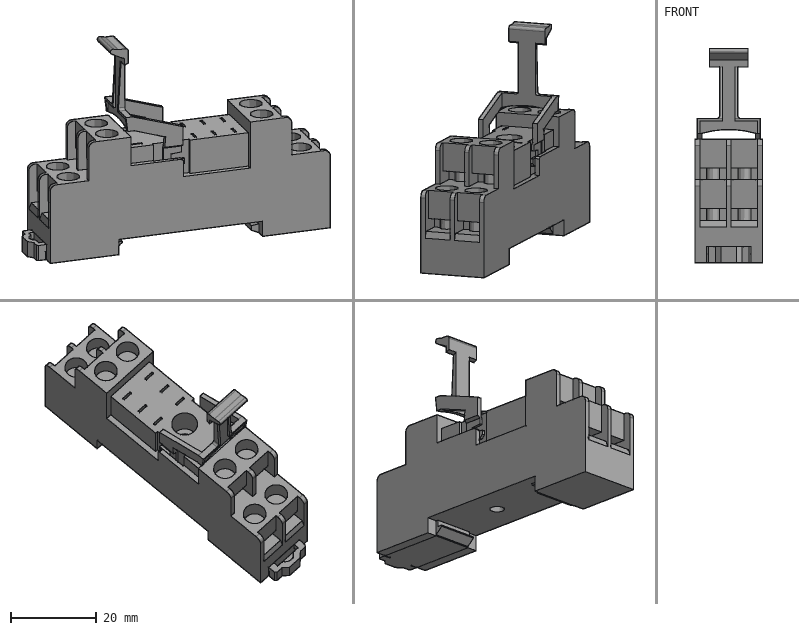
import cadquery as cq
import math


WIDTH = 15.8
HALF_WIDTH = WIDTH / 2
LENGTH = 69.8
LOWER_TIER_TOP = 19.5
UPPER_TIER_TOP = 29.0
TIER_RISE = UPPER_TIER_TOP - LOWER_TIER_TOP
TIER_SETBACK = 9.6
TIER_EDGE_RADIUS = 1.5
SEAT_FRONT = 20.15
SEAT_BACK = 49.85
SEAT_TOP = 25.9

CHANNEL_FRONT = 17.1
CHANNEL_BACK = 52.9
CHANNEL_HEIGHT = 3.8

FIXED_HOOK_TIP_Y = 51.1
FIXED_HOOK_TIP_BOTTOM = 0.8
FIXED_HOOK_TIP_TOP = 2.0
HOOK_TOP = 2.2
RIDGE_FRONT = 49.05
RIDGE_CREST_FRONT = 49.25
RIDGE_CREST_BACK = 50.3
RIDGE_BACK = 51.0
RIDGE_HEIGHT = 0.45

TERMINAL_X = 3.7
POCKET_WIDTH = 6.2
POCKET_DEPTH = 2.05
PANEL_HEIGHT = 6.75
CAVITY_HEIGHT = TIER_RISE - PANEL_HEIGHT
BORE_DIAMETER = 5.3
BORE_DEPTH = 4.4
BORE_SETBACK = 6.0
SCREW_DIAMETER = 3.1
SILL_SLOPE_DEPTH = 0.6
SILL_SLOPE_HEIGHT = 1.55

BLOCK_HALF_WIDTH = 6.5
SIDE_STEP_FLOOR = 17.5
SIDE_WALL_TOP = 21.9
SIDE_WALL_END = 33.2
SIDE_WALL_CHAMFER = 0.45
LEVER_SLOT_INNER_X = 5.9
LEVER_SLOT_OUTER_X = 6.8
LEVER_SLOT_FRONT = 26.2
LEVER_SLOT_BACK = 35.3

BLADE_LENGTH = 2.5
BLADE_THICKNESS = 0.5
BLADE_DEPTH = 3.7
CONTACT_X = 3.75
CONTACT_FIRST_Y = 37.2
CONTACT_PITCH = 5.0
CONTACT_ROWS = 3
COIL_X = 4.55
COIL_Y = 22.8
MOUNT_Y = 32.2
MOUNT_DIAMETER = 3.4
MOUNT_HEAD_DIAMETER = 6.0
MOUNT_HEAD_DEPTH = 7.3

CLIP_HALF_WIDTH = 5.2
CLIP_HOOK_TIP_Y = 18.9
CLIP_HOOK_NECK_Y = 17.7
CLIP_HOOK_TIP_BOTTOM = 1.9
CLIP_HOOK_HEEL = 0.3
TAB_SHOULDER_Y = -2.35
TAB_TIP_Y = -3.5
TAB_CORNER = 0.45
TAB_SHOULDER_X = 3.1
TAB_TIP_X = 1.75
TAB_RECESS_X = 3.45
TAB_RECESS_Y = -1.25
TAB_RECESS_BULGE_Y = -2.35
TAB_RECESS_FLOOR = 0.7
TAB_ROOT_GAP = 0.2
TAB_ROOT_GAP_HEIGHT = 2.05

LEVER_TOP = 50.3
LEVER_BACK = 20.7
LEVER_FRONT = 19.7
HEAD_HALF_WIDTH = 4.55
HEAD_BOTTOM_BACK = 46.3
HEAD_BOTTOM_FRONT = 45.9
HEAD_FLAT_TOP = 50.0
HEAD_BACK_RADIUS = 0.7
HEAD_RAMP_Y = 18.2
HEAD_TIP_Y = 16.85
HEAD_TIP_RADIUS = 0.65
HEAD_ROOT_Z = 47.5
STEM_HALF_WIDTH = 2.16
STEM_FOOT_Y = 19.05
STEM_FOOT_RADIUS = 0.6
RIM_WIDTH = 0.65
CROSSBAR_TOP = 33.9
CROSSBAR_BOTTOM = 30.35
CROSSBAR_BOTTOM_Y = 19.5
CROSSBAR_ARCH_RISE = 0.9
ARM_OUTER_X = 7.4
ARM_INNER_X = 6.2
LEG_OUTER_X = 6.6
LEG_INNER_X = 5.95
JOG_TOP = 25.2
JOG_BOTTOM = 24.7
LEG_BOTTOM = 19.6
LEG_FRONT = 28.65
ARM_TOP_AT_LEG = 29.8
ARM_BOTTOM_START_Y = 21.1
ARM_BOTTOM_END = (28.95, 27.8)
LEG_NOTCH_FRONT = 30.6
LEG_NOTCH_TOP_BACK = 23.2
LEG_NOTCH_TOP_FRONT = 23.0
LEG_HOOK_TOP = 21.5
LEG_HOOK_TIP_Y = 33.95
LEG_HOOK_TIP_BOTTOM = 20.4


def box(x0, x1, y0, y1, z0, z1):
    """Axis-aligned block between two corners."""
    return cq.Workplane("XY").box(x1 - x0, y1 - y0, z1 - z0, centered=False).translate((x0, y0, z0))


def extrude_along_x(sketch, x0, x1):
    """Extrude a closed Y-Z outline from x0 to x1."""
    return sketch.extrude(x1 - x0).translate((x0, 0, 0))


def both_sides(solid):
    """A shape together with its mirror image across the mid plane X = 0."""
    return solid.union(solid.mirror("YZ"))


def both_ends(solid):
    """A shape together with its mirror image across the middle of the housing length."""
    return solid.union(solid.mirror("XZ", (0, LENGTH / 2, 0)))


def housing_block():
    r = TIER_EDGE_RADIUS
    bulge = r * (1 - math.sqrt(0.5))
    upper_back = LENGTH - TIER_SETBACK
    outline = (
        cq.Workplane("YZ")
        .moveTo(0, 0)
        .lineTo(0, LOWER_TIER_TOP - r)
        .threePointArc((bulge, LOWER_TIER_TOP - bulge), (r, LOWER_TIER_TOP))
        .lineTo(TIER_SETBACK, LOWER_TIER_TOP)
        .lineTo(TIER_SETBACK, UPPER_TIER_TOP - r)
        .threePointArc(
            (TIER_SETBACK + bulge, UPPER_TIER_TOP - bulge),
            (TIER_SETBACK + r, UPPER_TIER_TOP),
        )
        .lineTo(SEAT_FRONT, UPPER_TIER_TOP)
        .lineTo(SEAT_FRONT, SEAT_TOP)
        .lineTo(SEAT_BACK, SEAT_TOP)
        .lineTo(SEAT_BACK, UPPER_TIER_TOP)
        .lineTo(upper_back - r, UPPER_TIER_TOP)
        .threePointArc(
            (upper_back - bulge, UPPER_TIER_TOP - bulge),
            (upper_back, UPPER_TIER_TOP - r),
        )
        .lineTo(upper_back, LOWER_TIER_TOP)
        .lineTo(LENGTH - r, LOWER_TIER_TOP)
        .threePointArc(
            (LENGTH - bulge, LOWER_TIER_TOP - bulge),
            (LENGTH, LOWER_TIER_TOP - r),
        )
        .lineTo(LENGTH, 0)
        .lineTo(CHANNEL_BACK, 0)
        .lineTo(CHANNEL_BACK, CHANNEL_HEIGHT)
        .lineTo(CHANNEL_FRONT, CHANNEL_HEIGHT)
        .lineTo(CHANNEL_FRONT, 0)
        .close()
    )
    return extrude_along_x(outline, -HALF_WIDTH, HALF_WIDTH)


def terminal_cut(x, face_y, top):
    """Wire pocket, screw bore and undercut cavity of one terminal; a half-round screw stays behind."""
    x0 = x - POCKET_WIDTH / 2
    x1 = x + POCKET_WIDTH / 2
    bore_y = face_y + BORE_SETBACK
    floor = top - TIER_RISE
    pocket = box(x0, x1, face_y, face_y + POCKET_DEPTH, floor, top)
    cavity = box(x0, x1, face_y, bore_y, floor, floor + CAVITY_HEIGHT)
    screw = (
        cq.Workplane("XY", origin=(x, bore_y, floor)).circle(SCREW_DIAMETER / 2).extrude(CAVITY_HEIGHT)
    )
    bore = (
        cq.Workplane("XY", origin=(x, bore_y, top)).circle(BORE_DIAMETER / 2).extrude(-BORE_DEPTH)
    )
    return pocket.union(cavity.cut(screw)).union(bore)


def sill_slope_cut(x):
    """Sloping front edge of the sill under a lower terminal."""
    sill = LOWER_TIER_TOP - TIER_RISE
    outline = (
        cq.Workplane("YZ")
        .moveTo(0, sill - SILL_SLOPE_HEIGHT)
        .lineTo(SILL_SLOPE_DEPTH, sill)
        .lineTo(0, sill)
        .close()
    )
    return extrude_along_x(outline, x - POCKET_WIDTH / 2, x + POCKET_WIDTH / 2)


def terminal_cuts():
    cuts = terminal_cut(TERMINAL_X, 0, LOWER_TIER_TOP)
    cuts = cuts.union(sill_slope_cut(TERMINAL_X))
    cuts = cuts.union(terminal_cut(TERMINAL_X, TIER_SETBACK, UPPER_TIER_TOP))
    return both_ends(both_sides(cuts))


def seat_side_cuts():
    """Stepped recess beside the relay seat and the slot for the lever leg."""
    step_outline = (
        cq.Workplane("YZ")
        .moveTo(SEAT_FRONT, UPPER_TIER_TOP)
        .lineTo(SEAT_FRONT, SIDE_WALL_TOP)
        .lineTo(SIDE_WALL_END - SIDE_WALL_CHAMFER, SIDE_WALL_TOP)
        .lineTo(SIDE_WALL_END, SIDE_WALL_TOP - SIDE_WALL_CHAMFER)
        .lineTo(SIDE_WALL_END, SIDE_STEP_FLOOR)
        .lineTo(SEAT_BACK, SIDE_STEP_FLOOR)
        .lineTo(SEAT_BACK, UPPER_TIER_TOP)
        .close()
    )
    step = extrude_along_x(step_outline, BLOCK_HALF_WIDTH, HALF_WIDTH)
    slot = box(
        LEVER_SLOT_INNER_X, LEVER_SLOT_OUTER_X,
        LEVER_SLOT_FRONT, LEVER_SLOT_BACK,
        SIDE_STEP_FLOOR, SEAT_TOP,
    )
    return both_sides(step.union(slot))


def blade_slot_cuts():
    """Contact slots lie across the seat, the two coil slots along it."""
    contact_points = [(CONTACT_X, CONTACT_FIRST_Y + row * CONTACT_PITCH) for row in range(CONTACT_ROWS)]
    seat = cq.Workplane("XY", origin=(0, 0, SEAT_TOP))
    contacts = seat.pushPoints(contact_points).rect(BLADE_LENGTH, BLADE_THICKNESS).extrude(-BLADE_DEPTH)
    coil = seat.center(COIL_X, COIL_Y).rect(BLADE_THICKNESS, BLADE_LENGTH).extrude(-BLADE_DEPTH)
    return both_sides(contacts.union(coil))


def mounting_hole_cut():
    seat = cq.Workplane("XY", origin=(0, MOUNT_Y, SEAT_TOP))
    shank = seat.circle(MOUNT_DIAMETER / 2).extrude(-SEAT_TOP)
    head = seat.circle(MOUNT_HEAD_DIAMETER / 2).extrude(-MOUNT_HEAD_DEPTH)
    return shank.union(head)


def clip_slot_cut():
    return box(-CLIP_HALF_WIDTH, CLIP_HALF_WIDTH, 0, CHANNEL_FRONT, 0, CHANNEL_HEIGHT)


def fixed_rail_hook():
    outline = cq.Workplane("YZ").polyline(
        [
            (CHANNEL_BACK, 0),
            (FIXED_HOOK_TIP_Y, FIXED_HOOK_TIP_BOTTOM),
            (FIXED_HOOK_TIP_Y, FIXED_HOOK_TIP_TOP),
            (CHANNEL_BACK, HOOK_TOP),
        ]
    ).close()
    return extrude_along_x(outline, -CLIP_HALF_WIDTH, CLIP_HALF_WIDTH)


def rail_ridge():
    """Low ridge on the channel roof that bears on the rail."""
    crest = CHANNEL_HEIGHT - RIDGE_HEIGHT
    outline = cq.Workplane("YZ").polyline(
        [
            (RIDGE_FRONT, CHANNEL_HEIGHT),
            (RIDGE_CREST_FRONT, crest),
            (RIDGE_CREST_BACK, crest),
            (RIDGE_BACK, CHANNEL_HEIGHT),
        ]
    ).close()
    return extrude_along_x(outline, -CLIP_HALF_WIDTH, CLIP_HALF_WIDTH)


def make_housing():
    body = housing_block()
    for cut in (terminal_cuts(), seat_side_cuts(), blade_slot_cuts(), mounting_hole_cut(), clip_slot_cut()):
        body = body.cut(cut)
    return body.union(fixed_rail_hook()).union(rail_ridge())


def clip_bar():
    """Sliding bar in the front foot, ending in a hook under the rail."""
    outline = cq.Workplane("YZ").polyline(
        [
            (0, 0),
            (CHANNEL_FRONT, 0),
            (CHANNEL_FRONT, CLIP_HOOK_HEEL),
            (CLIP_HOOK_TIP_Y, CLIP_HOOK_TIP_BOTTOM),
            (CLIP_HOOK_TIP_Y, HOOK_TOP),
            (CLIP_HOOK_NECK_Y, HOOK_TOP),
            (CLIP_HOOK_NECK_Y, CHANNEL_HEIGHT),
            (0, CHANNEL_HEIGHT),
        ]
    ).close()
    return extrude_along_x(outline, -CLIP_HALF_WIDTH, CLIP_HALF_WIDTH)


def clip_tab():
    """Pull tab in front of the housing, with a recess for a screwdriver."""
    half_outline = [
        (CLIP_HALF_WIDTH, 0),
        (CLIP_HALF_WIDTH, TAB_SHOULDER_Y + TAB_CORNER),
        (CLIP_HALF_WIDTH - TAB_CORNER, TAB_SHOULDER_Y),
        (TAB_SHOULDER_X, TAB_SHOULDER_Y),
        (TAB_TIP_X, TAB_TIP_Y),
    ]
    mirrored = [(-x, y) for x, y in reversed(half_outline)]
    plate = cq.Workplane("XY").polyline(half_outline + mirrored).close().extrude(CHANNEL_HEIGHT)
    recess = (
        cq.Workplane("XY", origin=(0, 0, TAB_RECESS_FLOOR))
        .moveTo(TAB_RECESS_X, 0)
        .lineTo(TAB_RECESS_X, TAB_RECESS_Y)
        .lineTo(TAB_TIP_X, TAB_RECESS_Y)
        .threePointArc((0, TAB_RECESS_BULGE_Y), (-TAB_TIP_X, TAB_RECESS_Y))
        .lineTo(-TAB_RECESS_X, TAB_RECESS_Y)
        .lineTo(-TAB_RECESS_X, 0)
        .close()
        .extrude(CHANNEL_HEIGHT - TAB_RECESS_FLOOR)
    )
    root_gap = both_sides(
        box(TAB_RECESS_X, CLIP_HALF_WIDTH, -TAB_ROOT_GAP, 0, 0, TAB_ROOT_GAP_HEIGHT)
    )
    return plate.cut(recess).cut(root_gap)


def make_rail_clip():
    return clip_bar().union(clip_tab())


def lever_head():
    bulge = HEAD_BACK_RADIUS * (1 - math.sqrt(0.5))
    tip_z = LEVER_TOP - HEAD_TIP_RADIUS
    nose_root = (LEVER_FRONT, HEAD_ROOT_Z)
    to_root_y = nose_root[0] - HEAD_TIP_Y
    to_root_z = nose_root[1] - tip_z
    tangent_angle = math.atan2(to_root_z, to_root_y) - math.acos(
        HEAD_TIP_RADIUS / math.hypot(to_root_y, to_root_z)
    )
    nose_end = (
        HEAD_TIP_Y + HEAD_TIP_RADIUS * math.cos(tangent_angle),
        tip_z + HEAD_TIP_RADIUS * math.sin(tangent_angle),
    )
    outline = (
        cq.Workplane("YZ")
        .moveTo(LEVER_BACK, HEAD_BOTTOM_BACK)
        .lineTo(LEVER_BACK, HEAD_FLAT_TOP - HEAD_BACK_RADIUS)
        .threePointArc(
            (LEVER_BACK - bulge, HEAD_FLAT_TOP - bulge),
            (LEVER_BACK - HEAD_BACK_RADIUS, HEAD_FLAT_TOP),
        )
        .lineTo(HEAD_RAMP_Y, HEAD_FLAT_TOP)
        .lineTo(HEAD_TIP_Y, LEVER_TOP)
        .threePointArc((HEAD_TIP_Y - HEAD_TIP_RADIUS, tip_z), nose_end)
        .lineTo(*nose_root)
        .lineTo(LEVER_FRONT, HEAD_BOTTOM_FRONT)
        .close()
    )
    return extrude_along_x(outline, -HEAD_HALF_WIDTH, HEAD_HALF_WIDTH)


def lever_side_profile(half_width):
    """Stem and crossbar as seen along X; the front face leans out down to the crossbar."""
    outline = cq.Workplane("YZ").polyline(
        [
            (LEVER_BACK, CROSSBAR_BOTTOM),
            (LEVER_BACK, HEAD_BOTTOM_BACK),
            (LEVER_FRONT, HEAD_BOTTOM_FRONT),
            (STEM_FOOT_Y, CROSSBAR_TOP),
            (CROSSBAR_BOTTOM_Y, CROSSBAR_BOTTOM),
        ]
    ).close()
    return extrude_along_x(outline, -half_width, half_width)


def lever_front_profile(inset, foot_radius):
    """T-shaped outline of stem and crossbar, offset inwards by the inset."""
    stem_x = STEM_HALF_WIDTH - inset
    bar_x = ARM_OUTER_X - inset
    bar_top = CROSSBAR_TOP - inset
    stem = box(-stem_x, stem_x, 0, LEVER_BACK, CROSSBAR_BOTTOM, LEVER_TOP)
    bar = box(-bar_x, bar_x, 0, LEVER_BACK, CROSSBAR_BOTTOM, bar_top)
    tee = stem.union(bar)
    if foot_radius:
        corner = (
            cq.Workplane("XZ")
            .moveTo(stem_x, bar_top)
            .lineTo(stem_x + foot_radius, bar_top)
            .radiusArc((stem_x, bar_top + foot_radius), foot_radius)
            .close()
            .extrude(-LEVER_BACK)
        )
        tee = tee.union(both_sides(corner))
    return tee


def crossbar_arch_cut():
    return (
        cq.Workplane("XZ")
        .moveTo(-ARM_INNER_X, CROSSBAR_BOTTOM)
        .threePointArc((0, CROSSBAR_BOTTOM + CROSSBAR_ARCH_RISE), (ARM_INNER_X, CROSSBAR_BOTTOM))
        .close()
        .extrude(-LEVER_BACK)
    )


def lever_frame():
    """Stem and crossbar with a raised rim around the sunken front panel."""
    frame = lever_side_profile(ARM_OUTER_X).intersect(lever_front_profile(0, STEM_FOOT_RADIUS))
    sunken_panel = lever_front_profile(RIM_WIDTH, 0).intersect(
        box(-ARM_OUTER_X, ARM_OUTER_X, 0, LEVER_FRONT, 0, HEAD_BOTTOM_FRONT)
    )
    return frame.cut(sunken_panel).cut(crossbar_arch_cut())


def lever_arm():
    """Sloping arm whose leg jogs inwards and hooks into the housing slot."""
    side_outline = cq.Workplane("YZ").polyline(
        [
            (LEVER_BACK, CROSSBAR_TOP),
            (SIDE_WALL_END, ARM_TOP_AT_LEG),
            (SIDE_WALL_END, LEG_NOTCH_TOP_BACK),
            (LEG_NOTCH_FRONT, LEG_NOTCH_TOP_FRONT),
            (LEG_NOTCH_FRONT, LEG_HOOK_TOP),
            (LEG_HOOK_TIP_Y, LEG_HOOK_TOP),
            (LEG_HOOK_TIP_Y, LEG_HOOK_TIP_BOTTOM),
            (SIDE_WALL_END, LEG_BOTTOM),
            (LEG_FRONT, LEG_BOTTOM),
            (LEG_FRONT, JOG_BOTTOM),
            ARM_BOTTOM_END,
            (ARM_BOTTOM_START_Y, CROSSBAR_BOTTOM),
            (LEVER_FRONT, CROSSBAR_BOTTOM),
            (LEVER_FRONT, CROSSBAR_TOP),
        ]
    ).close()
    side = extrude_along_x(side_outline, 0, ARM_OUTER_X)
    section = cq.Workplane("XZ").polyline(
        [
            (ARM_INNER_X, CROSSBAR_TOP),
            (ARM_OUTER_X, CROSSBAR_TOP),
            (ARM_OUTER_X, JOG_TOP),
            (LEG_OUTER_X, JOG_BOTTOM),
            (LEG_OUTER_X, LEG_BOTTOM),
            (LEG_INNER_X, LEG_BOTTOM),
            (LEG_INNER_X, JOG_BOTTOM),
            (ARM_INNER_X, JOG_TOP),
        ]
    ).close().extrude(-LENGTH)
    return side.intersect(section)


def make_lever():
    return lever_head().union(lever_frame()).union(both_sides(lever_arm()))


housing = make_housing()
rail_clip = make_rail_clip()
lever = make_lever()

result = cq.Compound.makeCompound([housing.val(), rail_clip.val(), lever.val()])